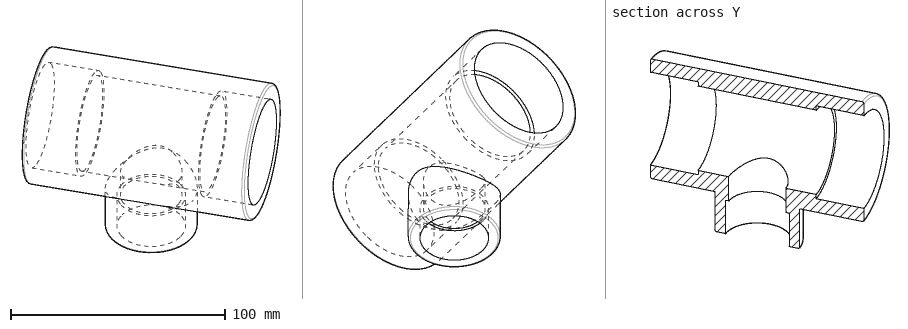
import cadquery as cq


run_length = 107.5
run_diameter = 65.0
run_socket_diameter = 50.0
run_bore_diameter = 45.4
run_socket_depth = 24.0

branch_reach = 54.0
branch_diameter = 43.0
branch_socket_diameter = 32.0
branch_bore_diameter = 28.8
branch_socket_depth = 18.0

edge_round = 1.0


def run_cylinder(diameter, length):
    """Cylinder along X, centred on the origin."""
    start = cq.Workplane("YZ").workplane(offset=-length / 2)
    return start.circle(diameter / 2).extrude(length)


def branch_cylinder(diameter, bottom, top):
    """Cylinder along Z between two heights."""
    return cq.Workplane("XY").workplane(offset=bottom).circle(diameter / 2).extrude(top - bottom)


def tee_body():
    """Solid run and branch with rounded outer end rims."""
    run = run_cylinder(run_diameter, run_length).faces("<X or >X").edges().fillet(edge_round)
    branch = branch_cylinder(branch_diameter, -branch_reach, 0).faces("<Z").edges().fillet(edge_round)
    return run.union(branch)


def run_passage():
    """Through bore between two wider end sockets."""
    middle_length = run_length - 2 * run_socket_depth
    middle_section = run_cylinder(run_socket_diameter, middle_length)
    sockets = run_cylinder(run_socket_diameter, run_length).cut(middle_section)
    return sockets.union(run_cylinder(run_bore_diameter, run_length))


def branch_passage():
    """Branch socket and the narrower bore that joins it to the run bore."""
    socket_floor = -branch_reach + branch_socket_depth
    socket = branch_cylinder(branch_socket_diameter, -branch_reach, socket_floor)
    return socket.union(branch_cylinder(branch_bore_diameter, -branch_reach, 0))


result = tee_body().cut(run_passage()).cut(branch_passage())